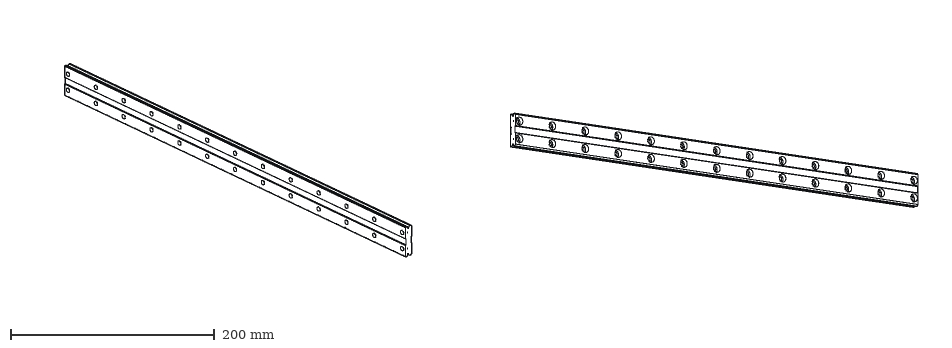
import cadquery as cq

length = 490.0
thickness = 9.0
height = 33.0

front_chamfer = 0.5
back_chamfer = 1.5

recess_height = 7.5
recess_depth = 0.75
recess_flare = 0.5

groove_width = 4.0
groove_depth = 2.5
groove_offset = -0.5
relief_width = 1.0
v_depth = (groove_width - relief_width) / 2

hole_diameter = 4.5
counterbore_diameter = 8.0
counterbore_depth = 5.0
holes_per_row = 13
end_margin = 5.0
row_spacing = 17.5
hole_pitch = (length - 2 * end_margin) / (holes_per_row - 1)


def make_bar():
    """Plain bar with its four long corners chamfered."""
    bar = cq.Workplane("XY").box(length, thickness, height)
    bar = bar.edges("|X and <Y").chamfer(front_chamfer)
    return bar.edges("|X and >Y").chamfer(back_chamfer)


def extrude_along_bar(points):
    """Solid with a (Y, Z) outline running the full length of the bar."""
    return cq.Workplane("YZ").polyline(points).close().extrude(length / 2, both=True)


def make_recess(side):
    """Cutter for the recess in the back (side = 1) or front (side = -1) face."""
    face = side * thickness / 2
    floor = face - side * recess_depth
    outer = recess_height / 2
    inner = outer - recess_flare
    return extrude_along_bar([(face, -outer), (floor, -inner), (floor, inner), (face, outer)])


def make_groove(side):
    """Cutter for the V groove and relief slot in the +Z (side = 1) or -Z (side = -1) edge."""
    edge = side * height / 2
    v_end = edge - side * v_depth
    floor = edge - side * groove_depth
    groove = extrude_along_bar(
        [
            (-groove_width / 2, edge),
            (-relief_width / 2, v_end),
            (-relief_width / 2, floor),
            (relief_width / 2, floor),
            (relief_width / 2, v_end),
            (groove_width / 2, edge),
        ]
    )
    return groove.translate((0, groove_offset, 0))


def make_hole_cylinders(diameter, depth):
    """Cylinders at every hole position, reaching the given depth from the back face."""
    return (
        cq.Workplane("XZ", origin=(0, thickness / 2, 0))
        .rarray(hole_pitch, row_spacing, holes_per_row, 2)
        .circle(diameter / 2)
        .extrude(depth)
    )


result = make_bar()
for side in (-1, 1):
    result = result.cut(make_recess(side)).cut(make_groove(side))
result = result.cut(make_hole_cylinders(hole_diameter, thickness))
result = result.cut(make_hole_cylinders(counterbore_diameter, counterbore_depth))